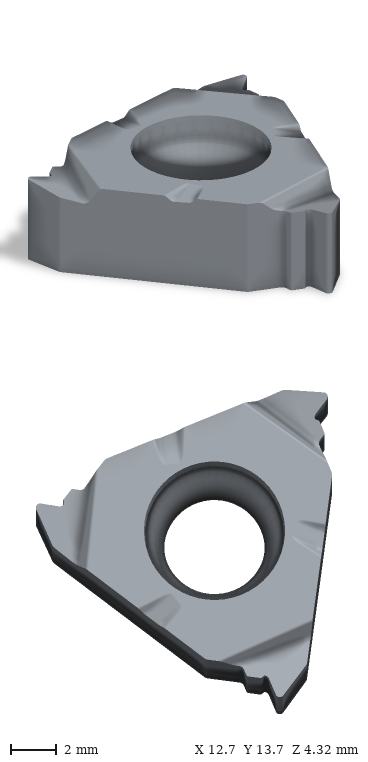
import cadquery as cq
import math

thickness = 4.32
corner_count = 3
corner_step = 360 / corner_count
side_distance = 4.77
cutter_size = 27.4

tip_y = 6.89
shoulder_y = 6.14
valley_y = 6.0
relief_y = 5.73
left_flank_angle = 62
right_flank_angle = -60
right_flank_distance = 0.27
end_face_distance = 1.12
flank_foot_y = 5.23
valley_end_x = -3.0
tip_radius = 0.16
valley_radius = 0.2
relief_radius = 0.23
shoulder_radius = 0.1
blend_radius = 0.27

rake_tip_drop = 0.37
rake_angle = 9.5
wall_distance = 5.4
wall_direction = 31.8
wall_slope = 58
groove_radius = 0.33
groove_edge_radius = 0.14

notch_y = -0.23
notch_turn = 14
notch_depth = 0.25
notch_length = 1.35
notch_floor_width = 0.84
notch_flare = 49
notch_radius = 0.3
notch_rim_radius = 0.14

bore_radius = 4.4 / 2
rim_radius = 3.08
seat_top = (3.01, 0.97)
throat_top = (2.93, 1.26)
throat_depth = 3.53


def turned(x, y, corner):
    """Turn a point about the hole axis to the given corner."""
    angle = math.radians(-corner_step * corner)
    return (
        x * math.cos(angle) - y * math.sin(angle),
        x * math.sin(angle) + y * math.cos(angle),
    )


def around(shape):
    """Yield the shape at each of the three corners."""
    for corner in range(corner_count):
        yield shape.rotate((0, 0, 0), (0, 0, 1), -corner_step * corner)


def x_on_slant(distance, y):
    """X at height y on a line parallel to the right flank."""
    normal = math.radians(right_flank_angle + 90)
    return (distance - y * math.sin(normal)) / math.cos(normal)


def corner_outline():
    """Points along one corner, each with the radius that rounds it."""
    rise = tip_y - flank_foot_y
    tip_left_x = -side_distance + rise / math.tan(math.radians(left_flank_angle))
    normal = math.radians(180 - corner_step)
    side_start_x = (side_distance - relief_y * math.sin(normal)) / math.cos(normal)
    return [
        (-side_distance, flank_foot_y, blend_radius),
        (tip_left_x, tip_y, tip_radius),
        (x_on_slant(right_flank_distance, tip_y), tip_y, tip_radius),
        (x_on_slant(right_flank_distance, valley_y), valley_y, valley_radius),
        (valley_end_x, valley_y, 0),
        (valley_end_x + shoulder_y - valley_y, shoulder_y, 0),
        (x_on_slant(end_face_distance, shoulder_y), shoulder_y, shoulder_radius),
        (x_on_slant(end_face_distance, relief_y), relief_y, relief_radius),
        (side_start_x, relief_y, blend_radius),
    ]


def make_blank():
    """Full-height body with its upright edges rounded."""
    outline = corner_outline()
    corners = range(corner_count)
    points = [turned(x, y, corner) for corner in corners for x, y, _ in outline]
    blank = cq.Workplane("XY").polyline(points).close().extrude(thickness)
    for x, y, radius in outline:
        if radius == 0:
            continue
        for corner in corners:
            px, py = turned(x, y, corner)
            edge = cq.selectors.NearestToPointSelector((px, py, thickness / 2))
            blank = blank.edges("|Z").edges(edge).fillet(radius)
    return blank


def wall_foot():
    """Point of the groove wall nearest the hole axis, at the top face."""
    across = math.radians(wall_direction + 90)
    return wall_distance * math.cos(across), wall_distance * math.sin(across)


def make_chip_groove():
    """Space above the rake face and outside the groove wall, with a rounded root."""
    rake_space = (
        cq.Workplane("XY")
        .box(cutter_size, cutter_size, cutter_size, centered=(True, True, False))
        .rotate((0, 0, 0), (1, 0, 0), rake_angle)
        .translate((0, tip_y, thickness - rake_tip_drop))
    )
    wall_space = (
        cq.Workplane("XY")
        .box(cutter_size, cutter_size, cutter_size, centered=(True, True, False))
        .rotate((0, 0, 0), (1, 0, 0), -wall_slope)
        .translate((0, wall_distance, thickness))
        .rotate((0, 0, 0), (0, 0, 1), wall_direction)
    )
    root = (*wall_foot(), thickness - 2 * rake_tip_drop)
    groove = rake_space.intersect(wall_space)
    return groove.edges(cq.selectors.NearestToPointSelector(root)).fillet(groove_radius)


def round_groove_edges(body):
    """Round the top of each groove wall into the top face."""
    for corner in range(corner_count):
        px, py = turned(*wall_foot(), corner)
        edge = cq.selectors.NearestToPointSelector((px, py, thickness))
        body = body.faces(">Z").edges(edge).fillet(groove_edge_radius)
    return body


def make_notch():
    """Flared channel whose floor climbs from the long side to the top face."""
    reach = 2 * notch_length
    height = 2 * notch_depth
    flare = height * math.tan(math.radians(notch_flare))
    floor_half = notch_floor_width / 2
    profile = [
        (-floor_half, 0),
        (floor_half, 0),
        (floor_half + flare, height),
        (-floor_half - flare, height),
    ]
    climb = math.degrees(math.atan(notch_depth / notch_length))
    return (
        cq.Workplane("YZ")
        .polyline(profile)
        .close()
        .extrude(reach, both=True)
        .edges("|X and <Z")
        .fillet(notch_radius)
        .rotate((0, 0, 0), (0, 1, 0), -climb)
        .rotate((0, 0, 0), (0, 0, 1), -notch_turn)
        .translate((-side_distance, notch_y, thickness - notch_depth))
    )


def cut_notch(body):
    """Cut the notch in the -X side and round its rim on the top face."""
    rim_margin = 0.01
    rim = cq.selectors.BoxSelector(
        (rim_margin - side_distance, notch_y - notch_length, thickness - rim_margin),
        (notch_length - side_distance + rim_margin, notch_y + notch_length, thickness + rim_margin),
    )
    body = body.cut(make_notch())
    return body.faces(">Z").edges(rim).fillet(notch_rim_radius)


def make_hole():
    """Revolved space for the screw: tapered seat, curved throat and bore."""
    seat_radius, seat_depth = seat_top
    throat_radius, throat_start = throat_top
    drop = throat_depth - throat_start
    narrowing = throat_radius - bore_radius
    arc_radius = (narrowing ** 2 + drop ** 2) / (2 * narrowing)
    half_sweep = math.asin(drop / arc_radius) / 2
    throat_middle = (
        bore_radius + arc_radius * (1 - math.cos(half_sweep)),
        thickness - throat_depth + arc_radius * math.sin(half_sweep),
    )
    return (
        cq.Workplane("XZ")
        .moveTo(0, thickness)
        .lineTo(rim_radius, thickness)
        .lineTo(seat_radius, thickness - seat_depth)
        .tangentArcPoint((throat_radius, thickness - throat_start), relative=False)
        .threePointArc(throat_middle, (bore_radius, thickness - throat_depth))
        .lineTo(bore_radius, 0)
        .lineTo(0, 0)
        .close()
        .revolve(360, (0, 0, 0), (0, 1, 0))
    )


result = make_blank()
for groove in around(make_chip_groove()):
    result = result.cut(groove)
result = round_groove_edges(result)
for _ in range(corner_count):
    result = cut_notch(result)
    result = result.rotate((0, 0, 0), (0, 0, 1), corner_step)
result = result.cut(make_hole())